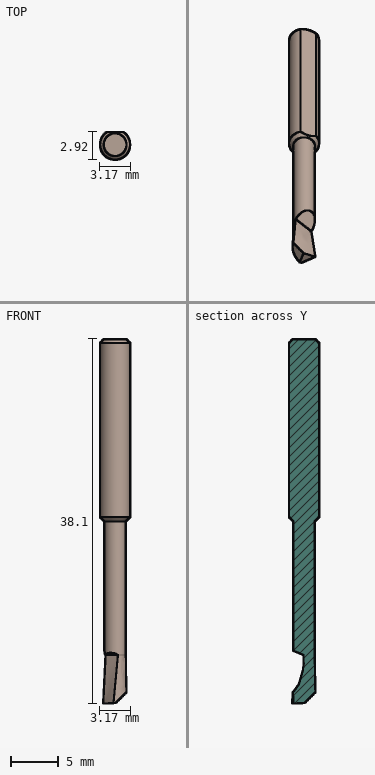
import cadquery as cq
import math


total_length = 38.1
shank_diameter = 3.175
shank_depth = 2.92
shank_end_chamfer = 0.4

neck_diameter = 2.28
neck_top = 19.05
tip_length = 5.08

root_cutting_angle = 208
root_heel_angle = 285
root_back_angle = 381
end_radius = 1.26
end_cutting_angle = 180
end_heel_angle = 262
end_back_angle = 360

end_slope = 3
nose_radius = 0.15
corner_cut_start = 0.05

shank_radius = shank_diameter / 2
neck_radius = neck_diameter / 2


def polar(radius, angle):
    """Point at an angle in degrees about the axis."""
    return (radius * math.cos(math.radians(angle)), radius * math.sin(math.radians(angle)))


def make_shank():
    shoulder = shank_radius - neck_radius
    profile = [
        (0, neck_top),
        (neck_radius, neck_top),
        (shank_radius, neck_top + shoulder),
        (shank_radius, total_length - shank_end_chamfer),
        (shank_radius - shank_end_chamfer, total_length),
        (0, total_length),
    ]
    shank = cq.Workplane("XZ").polyline(profile).close().revolve(360, (0, 0), (0, 1))
    flat_y = shank_depth - shank_radius
    beyond_flat = cq.Workplane("XY").box(
        shank_diameter, shank_diameter, total_length, centered=(True, False, False)
    )
    return shank.cut(beyond_flat.translate((0, flat_y, 0)))


def sloped_shoulder(start, end):
    """Wedge under a 45 degree plane that rises to the left of the line start-end."""
    reach = neck_diameter
    along = (end[0] - start[0], end[1] - start[1], 0)
    outward = (-along[1], along[0], 0)
    plane = cq.Plane(origin=(start[0], start[1], tip_length), xDir=outward, normal=along)
    wedge = cq.Workplane(plane).polyline([(0, 0), (reach, 0), (reach, reach)]).close()
    return wedge.extrude(reach, both=True)


def make_neck():
    neck = cq.Workplane("XY", origin=(0, 0, tip_length)).circle(neck_radius).extrude(neck_top - tip_length)
    cutting = polar(neck_radius, root_cutting_angle)
    heel = polar(neck_radius, root_heel_angle)
    back = polar(neck_radius, root_back_angle)
    return neck.cut(sloped_shoulder(cutting, back)).cut(sloped_shoulder(heel, cutting))


def tip_section(z, radius, cutting_angle, heel_angle, back_angle):
    """Closed outline: flat flank, round back, flat rake side."""
    cutting = polar(radius, cutting_angle)
    heel = polar(radius, heel_angle)
    middle = polar(radius, (heel_angle + back_angle) / 2)
    back = polar(radius, back_angle)
    outline = cq.Workplane("XY", origin=(0, 0, z)).moveTo(*cutting).lineTo(*heel)
    return outline.threePointArc(middle, back).close().val()


def make_tip():
    root = tip_section(tip_length, neck_radius, root_cutting_angle, root_heel_angle, root_back_angle)
    end = tip_section(0, end_radius, end_cutting_angle, end_heel_angle, end_back_angle)
    tip = cq.Workplane("XY").newObject([cq.Solid.makeLoft([end, root], True)])

    nose_x = nose_radius - end_radius
    corner_z = (corner_cut_start - nose_x) * math.tan(math.radians(end_slope))
    far_x = 2 * end_radius
    waste = (
        cq.Workplane("XZ")
        .moveTo(-far_x, nose_radius)
        .lineTo(-end_radius, nose_radius)
        .radiusArc((nose_x, 0), -nose_radius)
        .lineTo(corner_cut_start, corner_z)
        .lineTo(far_x, corner_z + far_x - corner_cut_start)
        .lineTo(far_x, -end_radius)
        .lineTo(-far_x, -end_radius)
        .close()
        .extrude(far_x, both=True)
    )
    return tip.cut(waste)


result = make_shank().union(make_neck()).union(make_tip())